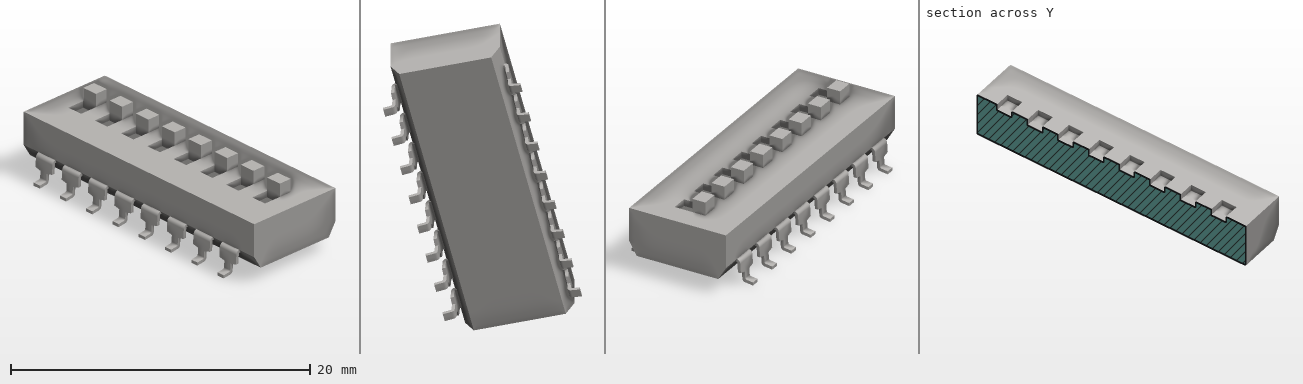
import cadquery as cq
import math

body_length = 22.3
body_width = 7.5
body_bottom = 1.0
body_top = 4.5
chamfer_width = 0.6
chamfer_height = 1.0

switch_count = 8
pitch = 2.54

slot_width = 1.22
slot_length = 2.37
slot_depth = 0.5
actuator_length = 1.0
actuator_top = 5.5

lead_span = 9.39
lead_thickness = 0.23
lead_top = 2.01
lead_gap = 0.02
lead_root = 0.6
lead_lean = 4.0
foot_slope = 8.0
top_bend_radius = 0.31
heel_radius = 0.24
instep_radius = 0.12

blade_width = 1.6
tail_width = 0.6
shoulder_outer_z = 1.0
shoulder_inner_z = 0.89


def make_housing():
    half_width = body_width / 2
    chamfer_top = body_bottom + chamfer_height
    profile = [
        (-half_width, body_top),
        (half_width, body_top),
        (half_width, chamfer_top),
        (half_width - chamfer_width, body_bottom),
        (chamfer_width - half_width, body_bottom),
        (-half_width, chamfer_top),
    ]
    return cq.Workplane("YZ").polyline(profile).close().extrude(body_length / 2, both=True)


def make_slot(x):
    floor = body_top - slot_depth
    return cq.Workplane(cq.Plane((x, 0, floor))).rect(slot_width, slot_length).extrude(slot_depth)


def make_actuator(x):
    centre_y = (slot_length - actuator_length) / 2
    floor = body_top - slot_depth
    plane = cq.Plane((x, centre_y, floor))
    return cq.Workplane(plane).rect(slot_width, actuator_length).extrude(actuator_top - floor)


def bent_strip():
    """Side profile of a lead on the +Y side, extruded to the blade width."""
    lean = math.tan(math.radians(lead_lean))
    slope = math.tan(math.radians(foot_slope))
    leg_across = lead_thickness / math.cos(math.radians(lead_lean))
    foot_across = lead_thickness / math.cos(math.radians(foot_slope))
    body_side = body_width / 2
    tip_y = lead_span / 2

    root_y = body_side - lead_root
    root_underside = lead_top - lead_thickness

    def leg_inner_y(z):
        return body_side + lead_gap + (root_underside - z) * lean

    def foot_meets_leg(tip_z, leg_offset):
        """Point where a foot face ending at tip_z crosses a leg face."""
        y_at_zero = leg_inner_y(0) + leg_offset
        z = (tip_z + (tip_y - y_at_zero) * slope) / (1 - lean * slope)
        return (y_at_zero - z * lean, z)

    top_bend = (leg_inner_y(lead_top) + leg_across, lead_top)
    heel = foot_meets_leg(0, 0)
    instep = foot_meets_leg(foot_across, leg_across)
    profile = [
        (root_y, lead_top),
        top_bend,
        instep,
        (tip_y, foot_across),
        (tip_y, 0),
        heel,
        (leg_inner_y(root_underside), root_underside),
        (root_y, root_underside),
    ]
    strip = cq.Workplane("YZ").polyline(profile).close().extrude(blade_width / 2, both=True)
    bends = [
        (top_bend, top_bend_radius),
        (heel, heel_radius),
        (instep, instep_radius),
    ]
    for (y, z), radius in bends:
        corner = cq.selectors.NearestToPointSelector((0, y, z))
        strip = strip.edges("|X").edges(corner).fillet(radius)
    return strip


def make_lead():
    """One lead on the +Y side at X = 0, trimmed to its blade and tail outline."""
    outline = [
        (-blade_width / 2, lead_top),
        (blade_width / 2, lead_top),
        (blade_width / 2, shoulder_outer_z),
        (tail_width / 2, shoulder_inner_z),
        (tail_width / 2, 0),
        (-tail_width / 2, 0),
        (-tail_width / 2, shoulder_inner_z),
        (-blade_width / 2, shoulder_outer_z),
    ]
    blank = cq.Workplane("XZ").polyline(outline).close().extrude(-lead_span)
    return bent_strip().intersect(blank)


switch_positions = [(i - (switch_count - 1) / 2) * pitch for i in range(switch_count)]
lead = make_lead()
opposite_lead = lead.mirror("XZ")

result = make_housing()
for x in switch_positions:
    result = result.cut(make_slot(x)).union(make_actuator(x))
    result = result.union(lead.translate((x, 0, 0)))
    result = result.union(opposite_lead.translate((x, 0, 0)))